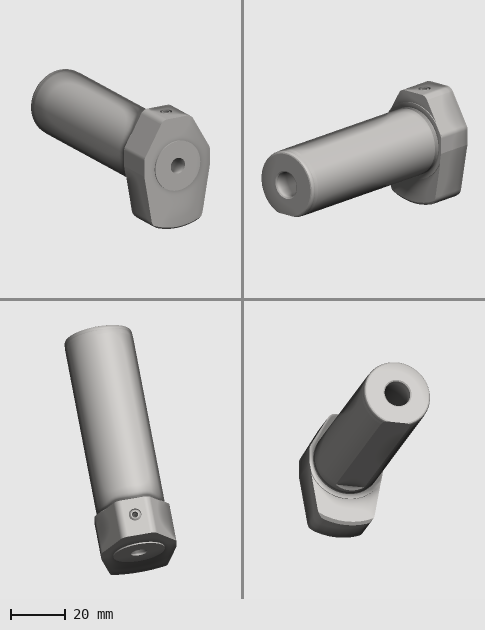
import cadquery as cq
import math

total_length = 85.0
relief_start = 67.9
relief_taper = 0.8
relief_flat = 0.8
head_seat_x = 69.9
head_front_x = 70.2
head_back_x = 84.5

shank_radius = 25.4 / 2
relief_radius = 25.0 / 2
tip_face_radius = 11.8
tip_bevel_length = 0.2
tip_bevel_rise = 0.4
tip_round_end = 1.7
tip_round_radius = 12.6
lead_in_end = 3.3
flat_depth = 11.5
flat_end = 64.9

head_top = 18.5
head_half_width = 28.0 / 2
head_bottom_radius = 24.5
shoulder_angle = 60.0
top_half_width = 5.95
lower_flank_start = -2.0
lower_flank_angle = 10.0
upper_corner_round = 3.0
lower_corner_round = 4.25
front_chamfer = 1.0
back_chamfer = 0.7

seat_diameter = 29.15
end_pad_diameter = 19.1

bore_mouth_radius = 10.6 / 2
bore_mouth_depth = 0.3
bore_radius = 9.7 / 2
bore_depth = 51.0
bore_step_radius = 8.2 / 2
bore_inner_radius = 6.9 / 2
bore_through_radius = 6.0 / 2
bore_step_length = 5.1

screw_x = 76.5
screw_hole_radius = 4.6 / 2
screw_crown_radius = 3.1 / 2
screw_recess = 0.1
screw_gap_depth = 0.8
socket_radius = 2.3 / 2
socket_depth = 1.7


def x_cylinder(radius, start, end):
    return cq.Workplane("YZ", origin=(start, 0, 0)).circle(radius).extrude(end - start)


def spin_about_x(profile):
    return profile.close().revolve(360, (0, 0, 0), (1, 0, 0))


def make_shank():
    relief_floor = relief_start + relief_taper
    relief_end = relief_floor + relief_flat
    bevel_radius = tip_face_radius + tip_bevel_rise
    arc_share = math.sqrt(0.5)
    tip_mid = (
        tip_round_end - (tip_round_end - tip_bevel_length) * arc_share,
        bevel_radius + (tip_round_radius - bevel_radius) * arc_share,
    )
    profile = (
        cq.Workplane("XY")
        .lineTo(0, tip_face_radius)
        .lineTo(tip_bevel_length, bevel_radius)
        .threePointArc(tip_mid, (tip_round_end, tip_round_radius))
        .lineTo(lead_in_end, shank_radius)
        .lineTo(relief_start, shank_radius)
        .lineTo(relief_floor, relief_radius)
        .lineTo(relief_end, relief_radius)
        .lineTo(head_seat_x, shank_radius)
        .lineTo(head_front_x, shank_radius)
        .lineTo(head_front_x, 0)
    )
    runout = 2 * (shank_radius - flat_depth)
    flat_cut = (
        cq.Workplane("XZ")
        .moveTo(0, -flat_depth)
        .lineTo(flat_end, -flat_depth)
        .lineTo(flat_end + runout, -flat_depth - runout)
        .lineTo(0, -flat_depth - runout)
        .close()
        .extrude(shank_radius, both=True)
    )
    return spin_about_x(profile).cut(flat_cut)


def make_head_prism(start, end):
    shoulder_drop = (head_half_width - top_half_width) * math.tan(math.radians(shoulder_angle))
    shoulder_z = head_top - shoulder_drop
    angle = math.radians(lower_flank_angle)
    flank_offset = head_half_width * math.cos(angle) - lower_flank_start * math.sin(angle)
    flank_run = math.sqrt(head_bottom_radius**2 - flank_offset**2)
    foot_y = flank_offset * math.cos(angle) - flank_run * math.sin(angle)
    foot_z = -flank_offset * math.sin(angle) - flank_run * math.cos(angle)
    prism = (
        cq.Workplane("YZ", origin=(start, 0, 0))
        .moveTo(-top_half_width, head_top)
        .lineTo(top_half_width, head_top)
        .lineTo(head_half_width, shoulder_z)
        .lineTo(head_half_width, lower_flank_start)
        .lineTo(foot_y, foot_z)
        .threePointArc((0, -head_bottom_radius), (-foot_y, foot_z))
        .lineTo(-head_half_width, lower_flank_start)
        .lineTo(-head_half_width, shoulder_z)
        .close()
        .extrude(end - start)
    )
    above_axis = cq.selectors.BoxSelector((start, -85, 0.85), (end, 85, 85))
    prism = prism.edges("|X").edges(above_axis).fillet(upper_corner_round)
    foot_edges = cq.selectors.BoxSelector((start, -85, -85), (end, 85, foot_z + 0.85))
    return prism.edges("|X").edges(foot_edges).fillet(lower_corner_round)


def make_head():
    envelope = (
        x_cylinder(head_bottom_radius, head_front_x, head_back_x)
        .faces("<X").chamfer(front_chamfer)
        .faces(">X").chamfer(back_chamfer)
    )
    head = make_head_prism(head_front_x, head_back_x).intersect(envelope)
    seat = make_head_prism(head_seat_x, head_front_x).intersect(
        x_cylinder(seat_diameter / 2, head_seat_x, head_front_x)
    )
    end_pad = x_cylinder(end_pad_diameter / 2, head_back_x, total_length)
    return head.union(seat).union(end_pad)


def make_bore():
    first_cone_end = bore_depth + bore_radius - bore_step_radius
    second_cone_start = first_cone_end + bore_step_length
    second_cone_end = second_cone_start + bore_step_radius - bore_inner_radius
    third_cone_start = second_cone_end + bore_step_length
    third_cone_end = third_cone_start + bore_inner_radius - bore_through_radius
    profile = (
        cq.Workplane("XY")
        .lineTo(0, bore_mouth_radius)
        .lineTo(bore_mouth_depth, bore_radius)
        .lineTo(bore_depth, bore_radius)
        .lineTo(first_cone_end, bore_step_radius)
        .lineTo(second_cone_start, bore_step_radius)
        .lineTo(second_cone_end, bore_inner_radius)
        .lineTo(third_cone_start, bore_inner_radius)
        .lineTo(third_cone_end, bore_through_radius)
        .lineTo(total_length, bore_through_radius)
        .lineTo(total_length, 0)
    )
    return spin_about_x(profile)


def make_screw_recess():
    """Clearance around the chamfered screw tip, plus its cone-bottomed socket."""
    crown_z = -screw_recess
    profile = (
        cq.Workplane("XZ", origin=(screw_x, 0, head_top))
        .lineTo(screw_hole_radius, 0)
        .lineTo(screw_hole_radius, crown_z - screw_gap_depth)
        .lineTo(screw_crown_radius, crown_z)
        .lineTo(socket_radius, crown_z)
        .lineTo(socket_radius, -socket_depth)
        .lineTo(0, -socket_depth - socket_radius)
        .close()
    )
    return profile.revolve(360, (0, 0, 0), (0, 1, 0))


result = make_shank().union(make_head()).cut(make_bore()).cut(make_screw_recess())